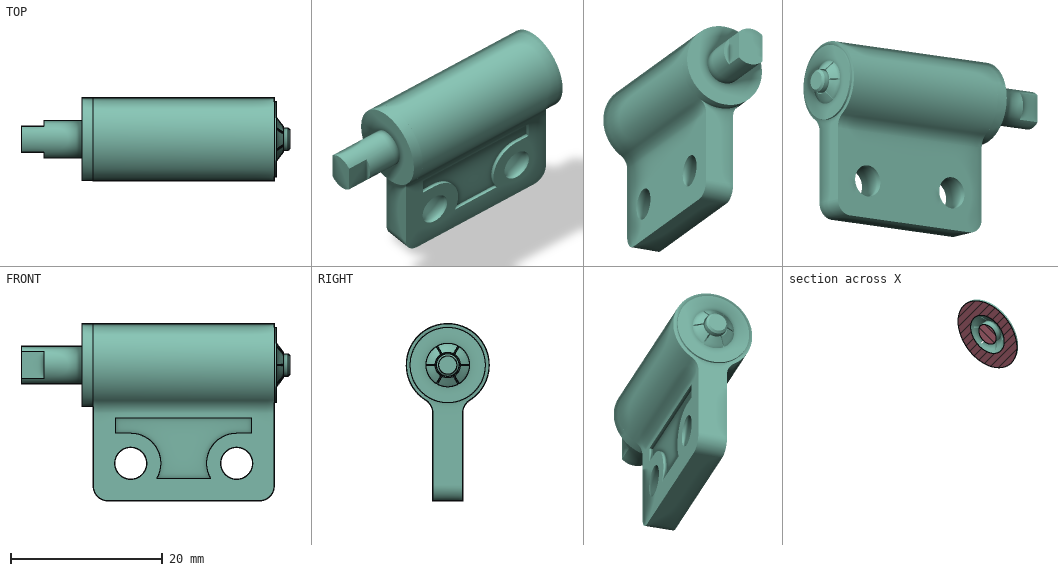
import cadquery as cq
import math

barrel_length = 24.0
barrel_diameter = 11.0
barrel_radius = barrel_diameter / 2

overall_height = 23.5
plate_thickness = 4.0
plate_corner_radius = 2.0
neck_fillet_radius = 2.0
plate_bottom = barrel_radius - overall_height

hole_diameter = 4.2
hole_inset = 5.0
hole_xs = (hole_inset, barrel_length - hole_inset)
hole_z = plate_bottom + hole_inset

pocket_depth = 0.5
pocket_side_inset = 3.0
pocket_bottom_margin = 3.0
pocket_height = 8.0
pocket_bottom = plate_bottom + pocket_bottom_margin
pocket_top = pocket_bottom + pocket_height
land_radius = 4.0

shaft_diameter = 5.02
shaft_radius = shaft_diameter / 2
shaft_reach = 8.0
flange_thickness = 1.5
flats_length = 3.0
flats_width = 3.5
stub_radius = 1.5
stub_length = 2.1
stub_chamfer = 0.3
shaft_tip_x = -flange_thickness - shaft_reach

washer_radius = 5.0
sheet_thickness = 0.3
cone_base_radius = 2.9
cone_tip_radius = 1.67
cone_height = 0.93
slit_count = 6
slit_width = 0.18


def x_cylinder(start_x, length, radius):
    """Cylinder on the X axis, running toward +X from start_x."""
    return cq.Workplane("YZ", origin=(start_x, 0, 0)).circle(radius).extrude(length)


def make_plate():
    """Plate from the barrel axis down, with rounded bottom corners."""
    return (
        cq.Workplane("XY", origin=(barrel_length / 2, 0, plate_bottom))
        .box(barrel_length, plate_thickness, -plate_bottom, centered=(True, True, False))
        .edges("|Y and <Z")
        .fillet(plate_corner_radius)
    )


def make_neck():
    """Web with concave sides, tangent to both the barrel and the plate."""
    half_plate = plate_thickness / 2
    center_distance = barrel_radius + neck_fillet_radius
    center_y = half_plate + neck_fillet_radius
    center_z = -math.sqrt(center_distance**2 - center_y**2)
    barrel_share = barrel_radius / center_distance
    tangent_y = center_y * barrel_share
    tangent_z = center_z * barrel_share

    mid_angle = math.atan2(-center_z, -center_y) / 2 + math.pi / 2
    mid_y = center_y + neck_fillet_radius * math.cos(mid_angle)
    mid_z = center_z + neck_fillet_radius * math.sin(mid_angle)
    return (
        cq.Workplane("YZ")
        .moveTo(0, 0)
        .lineTo(tangent_y, tangent_z)
        .threePointArc((mid_y, mid_z), (half_plate, center_z))
        .lineTo(-half_plate, center_z)
        .threePointArc((-mid_y, mid_z), (-tangent_y, tangent_z))
        .close()
        .extrude(barrel_length)
    )


def make_pocket():
    """Cutter for the pocket, sunk from the front face of the plate."""
    left_hole_x, right_hole_x = hole_xs
    right_side = barrel_length - pocket_side_inset
    arm_bottom = hole_z + land_radius
    foot_offset = math.sqrt(land_radius**2 - (hole_z - pocket_bottom) ** 2)
    return (
        cq.Workplane("XZ", origin=(0, -plate_thickness / 2, 0))
        .moveTo(pocket_side_inset, pocket_top)
        .lineTo(right_side, pocket_top)
        .lineTo(right_side, arm_bottom)
        .lineTo(right_hole_x, arm_bottom)
        .threePointArc((right_hole_x - land_radius, hole_z), (right_hole_x - foot_offset, pocket_bottom))
        .lineTo(left_hole_x + foot_offset, pocket_bottom)
        .threePointArc((left_hole_x + land_radius, hole_z), (left_hole_x, arm_bottom))
        .lineTo(pocket_side_inset, arm_bottom)
        .close()
        .extrude(-pocket_depth)
    )


def make_housing():
    """Barrel and plate in one piece, bored for the shaft."""
    barrel = x_cylinder(0, barrel_length, barrel_radius)
    shaft_bore = x_cylinder(0, barrel_length, shaft_radius)
    screw_holes = (
        cq.Workplane("XZ")
        .pushPoints([(x, hole_z) for x in hole_xs])
        .circle(hole_diameter / 2)
        .extrude(plate_thickness, both=True)
    )
    body = barrel.union(make_plate()).union(make_neck())
    return body.cut(shaft_bore).cut(screw_holes).cut(make_pocket())


def make_shaft():
    """Shaft with two flats at its tip, a flange, and a chamfered stub."""
    main = x_cylinder(shaft_tip_x, barrel_length - shaft_tip_x, shaft_radius)
    flange = x_cylinder(-flange_thickness, flange_thickness, barrel_radius)
    stub = x_cylinder(barrel_length, stub_length, stub_radius).faces(">X").chamfer(stub_chamfer)
    flat_depth = shaft_radius - flats_width / 2
    flat_center_y = (shaft_radius + flats_width / 2) / 2
    flat_cuts = (
        cq.Workplane("XY", origin=(shaft_tip_x + flats_length / 2, 0, 0))
        .pushPoints([(0, flat_center_y), (0, -flat_center_y)])
        .box(flats_length, flat_depth, shaft_diameter)
    )
    return main.cut(flat_cuts).union(flange).union(stub)


def make_washer():
    """Sheet washer revolved about X, its cone slit into petals."""
    cone_drop = cone_base_radius - cone_tip_radius
    cone_slant = math.hypot(cone_height, cone_drop)
    front_x = barrel_length + sheet_thickness
    outer_tip_x = front_x + cone_height

    axial_thickness = sheet_thickness * cone_slant / cone_drop
    run_per_drop = cone_height / cone_drop
    inner_tip_x = outer_tip_x - axial_thickness + (cone_tip_radius - stub_radius) * run_per_drop
    inner_base_radius = stub_radius + (inner_tip_x - barrel_length) / run_per_drop
    washer = (
        cq.Workplane("XY")
        .moveTo(barrel_length, inner_base_radius)
        .lineTo(barrel_length, washer_radius)
        .lineTo(front_x, washer_radius)
        .lineTo(front_x, cone_base_radius)
        .lineTo(outer_tip_x, cone_tip_radius)
        .lineTo(inner_tip_x, stub_radius)
        .close()
        .revolve(360, (0, 0, 0), (1, 0, 0))
    )

    slit = cq.Workplane("XY", origin=(front_x, 0, 0)).box(
        cone_height, cone_base_radius, slit_width, centered=(False, False, True)
    )
    for index in range(slit_count):
        angle = 180 + index * 360 / slit_count
        washer = washer.cut(slit.rotate((0, 0, 0), (1, 0, 0), angle))
    return washer


housing = make_housing()
shaft = make_shaft()
washer = make_washer()

result = cq.Compound.makeCompound([housing.val(), shaft.val(), washer.val()])